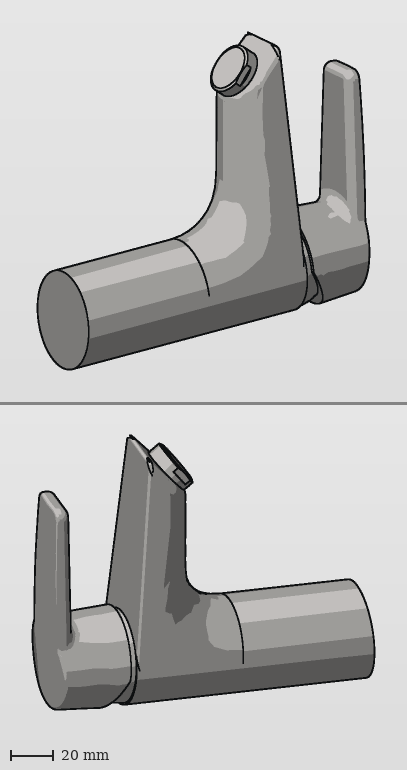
import cadquery as cq
import math

TILT = 5.0
TUBE_RADIUS = 23.5
TUBE_LENGTH = 119.6

SPOUT_TAPER = 4.0
SIDE_FLAT_DEPTH = 10.4
ELBOW_RADIUS = 25.6
SIDE_TAIL = 0.5
ELBOW_SWELL = 7.0
ELBOW_STEPS = 4
TUBE_END_ANGLE = 90.0
ELBOW_START = 66.2
SPOUT_STOCK_HEIGHT = 130.0
REAR_EDGE_RADIUS = 1.9
TIP_EDGE_RADIUS = 1.13
TIP_CORNER_RADIUS = 7.0
TIP_HEIGHT = 110.8

MOUTH_RISE = 40.0
MOUTH_Y = 97.6
MOUTH_Z = 108.45
MOUTH_CUT = 80.0
MOUTH_EDGE_RADIUS = 5.0
AERATOR_RISE = 36.0
AERATOR_FACE_Y = 90.1
AERATOR_FACE_Z = 109.6
AERATOR_RADIUS = 12.1
AERATOR_STOCK_LENGTH = 9.0
AERATOR_CHAMFER_WIDTH = 1.4
AERATOR_CHAMFER_DEPTH = 0.7
WRENCH_FLAT_SPAN = 22.0
WRENCH_FLAT_LENGTH = 3.6

DOME_RADIUS = 22.6

CAP_RIM_RADIUS = 24.31
CAP_RIM_GAP = 3.2
CAP_TAPER = 3.5
CAP_STOCK_LENGTH = 45.0
RELIEF_ANGLE = 25.0
CROWN_BACK = 157.0
CROWN_Z = 45.0
CROWN_SIDE_RADIUS = 116.0
CROWN_LENGTH_RADIUS = 880.0
LEVER_TOP = 101.5
LEVER_ROOT = 18.0
LEVER_FRONT = 147.9
LEVER_TOP_HALF = 12.3
LEVER_ROOT_HALF = 17.0
LEVER_CORNER_RADIUS = 5.0
LEVER_EDGE_RADIUS = 4.0
LEVER_BLEND_RADIUS = 5.5
CROWN_HALF_LENGTH = 150.0
CROWN_EDGE_RADIUS = 1.5

SIDE_FLAT_START = TUBE_LENGTH - SIDE_FLAT_DEPTH
ELBOW_CENTRE_HEIGHT = TUBE_RADIUS + ELBOW_RADIUS
ELBOW_CENTRE = cq.Vector(0, ELBOW_START, ELBOW_CENTRE_HEIGHT)
CORNER_ANGLE = math.degrees(math.atan2(ELBOW_CENTRE_HEIGHT, SIDE_FLAT_START - ELBOW_START))
BIG = 400.0


def tilt(shape):
    """Turn a shape built along +Y so that its axis rises towards the back."""
    return shape.rotate((0, 0, 0), (1, 0, 0), TILT)


def half_width(height):
    """Half the spout width at a height above the tube axis."""
    return TUBE_RADIUS - height * math.tan(math.radians(SPOUT_TAPER))


def d_section(front, shoulder, back):
    """Wire with a half-ellipse nose up to the shoulder and straight sides on to the back."""
    toward_front = (front - shoulder).normalized()
    depth = (front - shoulder).Length
    tail = (shoulder - back).Length
    plane = cq.Plane(origin=shoulder, xDir=(1, 0, 0), normal=cq.Vector(1, 0, 0).cross(toward_front))
    nose_half = half_width(shoulder.z)
    back_half = half_width(back.z)
    outline = (
        cq.Workplane(plane)
        .moveTo(-back_half, -tail)
        .lineTo(back_half, -tail)
        .lineTo(nose_half, 0)
        .ellipseArc(nose_half, depth, 0, 90, startAtCurrent=True)
        .ellipseArc(nose_half, depth, 90, 180, startAtCurrent=True)
        .close()
    )
    return outline.val()


def bend_back(angle):
    """Distance from the bend centre to the side flat or the tube's mid-plane."""
    to_flat = (SIDE_FLAT_START - ELBOW_START) / math.cos(math.radians(angle))
    to_tube = ELBOW_CENTRE_HEIGHT / math.sin(math.radians(angle))
    return min(to_flat, to_tube)


def elbow_section(angle):
    """Section of the bend in the radial plane at an angle below horizontal, degrees."""
    ray = cq.Vector(0, math.cos(math.radians(angle)), -math.sin(math.radians(angle)))
    first_depth = bend_back(TILT) - ELBOW_RADIUS - SIDE_TAIL
    last_depth = TUBE_RADIUS - SIDE_TAIL
    share = (angle - TILT) / (TUBE_END_ANGLE - TILT)
    swell = ELBOW_SWELL * math.sin(math.pi * share) ** 2
    nose_depth = first_depth + (last_depth - first_depth) * share + swell
    return d_section(
        ELBOW_CENTRE + ray * ELBOW_RADIUS,
        ELBOW_CENTRE + ray * (ELBOW_RADIUS + nose_depth),
        ELBOW_CENTRE + ray * bend_back(angle),
    )


def elbow_part(first, last):
    step = (last - first) / ELBOW_STEPS
    sections = [elbow_section(first + step * i) for i in range(ELBOW_STEPS + 1)]
    return cq.Workplane(cq.Solid.makeLoft(sections))


def spout_front():
    """Rounded front of the spout, straight from the bend upwards."""
    lean = math.radians(TILT)
    up = cq.Vector(0, math.sin(lean), math.cos(lean))
    level = cq.Vector(0, math.cos(lean), -math.sin(lean))
    sections = []
    for rise in (0, SPOUT_STOCK_HEIGHT - ELBOW_CENTRE_HEIGHT):
        front = ELBOW_CENTRE + level * ELBOW_RADIUS + up * rise
        back = front + level * ((SIDE_FLAT_START - front.y) / level.y)
        sections.append(d_section(front, back - level * SIDE_TAIL, back))
    return cq.Workplane(cq.Solid.makeLoft(sections, True))


def spout_back(top):
    """Flat-sided rear slab of the spout, up to a height above the tube axis."""
    top_half = half_width(top)
    return (
        cq.Workplane("XZ", origin=(0, SIDE_FLAT_START, 0))
        .polyline([
            (-TUBE_RADIUS, 0), (TUBE_RADIUS, 0),
            (top_half, top), (-top_half, top),
        ])
        .close()
        .extrude(-SIDE_FLAT_DEPTH)
    )


def rear_edge_waste():
    """Slivers to remove so that the long rear edges of the spout are round."""
    slab = spout_back(SPOUT_STOCK_HEIGHT)
    rounded = slab.faces(">Y").edges("not(>Z or <Z)").fillet(REAR_EDGE_RADIUS)
    return slab.cut(rounded)


def tip_corner_waste():
    """Slivers to remove so that the two top corners of the spout are round."""
    slab = spout_back(TIP_HEIGHT)
    return slab.cut(slab.edges("|Y and >Z").fillet(TIP_CORNER_RADIUS))


def tip_waste():
    """Sliver to remove so that the edge between the mouth and the rear face is round."""
    rise = math.radians(MOUTH_RISE)
    lean = math.radians(TILT)
    rear_gap = TUBE_LENGTH - MOUTH_Y * math.cos(lean) - MOUTH_Z * math.sin(lean)
    run = rear_gap / math.sin(rise + lean)
    tip_y = MOUTH_Y + run * math.sin(rise)
    tip_z = MOUTH_Z + run * math.cos(rise)
    wedge = (
        cq.Workplane("YZ")
        .polyline([
            (tip_y, tip_z),
            (tip_y - run * math.sin(rise), tip_z - run * math.cos(rise)),
            (tip_y + run * math.sin(lean), tip_z - run * math.cos(lean)),
        ])
        .close()
        .extrude(MOUTH_CUT, both=True)
    )
    return wedge.cut(wedge.edges(">Z").fillet(TIP_EDGE_RADIUS))


def raised_plane(y, z, rise):
    """Plane facing forwards and up at an angle above horizontal, degrees."""
    facing = cq.Vector(0, -math.cos(math.radians(rise)), math.sin(math.radians(rise)))
    return cq.Plane(origin=(0, y, z), xDir=(1, 0, 0), normal=facing)


MOUTH_PLANE = raised_plane(MOUTH_Y, MOUTH_Z, MOUTH_RISE)
AERATOR_PLANE = raised_plane(AERATOR_FACE_Y, AERATOR_FACE_Z, AERATOR_RISE)


def make_spout():
    spout = spout_back(SPOUT_STOCK_HEIGHT).union(spout_front())
    spout = spout.union(elbow_part(TILT, CORNER_ANGLE))
    spout = spout.union(elbow_part(CORNER_ANGLE, TUBE_END_ANGLE))
    spout = tilt(spout).cut(cq.Workplane(MOUTH_PLANE).rect(MOUTH_CUT, MOUTH_CUT).extrude(MOUTH_CUT))
    mouth = spout.faces(cq.selectors.NearestToPointSelector(MOUTH_PLANE.origin.toTuple()))
    spout = mouth.edges("not(>Z)").fillet(MOUTH_EDGE_RADIUS)
    return spout.cut(tilt(rear_edge_waste())).cut(tilt(tip_corner_waste())).cut(tip_waste())


def make_body():
    run_in = TUBE_RADIUS
    tube = (
        cq.Workplane("XZ", origin=(0, -run_in, 0))
        .circle(TUBE_RADIUS)
        .extrude(-TUBE_LENGTH - run_in)
    )
    below_base = cq.Workplane("XZ").rect(BIG, BIG).extrude(BIG)
    return tilt(tube).cut(below_base).union(make_spout())


def make_aerator(body):
    """Nozzle disc with two wrench flats, ending on the mouth of the spout."""
    disc = (
        cq.Workplane(AERATOR_PLANE)
        .circle(AERATOR_RADIUS)
        .extrude(-AERATOR_STOCK_LENGTH)
        .faces(cq.selectors.NearestToPointSelector(AERATOR_PLANE.origin.toTuple()))
        .chamfer(AERATOR_CHAMFER_DEPTH, AERATOR_CHAMFER_WIDTH)
    )
    beside_flats = (
        cq.Workplane(AERATOR_PLANE)
        .rect(2 * MOUTH_CUT, MOUTH_CUT)
        .rect(WRENCH_FLAT_SPAN, MOUTH_CUT)
        .extrude(-WRENCH_FLAT_LENGTH)
    )
    return disc.cut(beside_flats).cut(body)


def make_dome():
    dome = (
        cq.Workplane("XY", origin=(0, TUBE_LENGTH, 0))
        .lineTo(DOME_RADIUS, 0)
        .radiusArc((0, DOME_RADIUS), -DOME_RADIUS)
        .close()
        .revolve(360, (0, 0, 0), (0, 1, 0))
    )
    return tilt(dome)


def make_cap():
    rim = TUBE_LENGTH + CAP_RIM_GAP
    cap = (
        cq.Workplane("XZ", origin=(0, rim, 0))
        .circle(CAP_RIM_RADIUS)
        .extrude(-CAP_STOCK_LENGTH, taper=CAP_TAPER)
    )
    run_back = 2 * CAP_RIM_RADIUS * math.tan(math.radians(RELIEF_ANGLE))
    relief = (
        cq.Workplane("YZ")
        .polyline([(rim, 0), (rim, -2 * CAP_RIM_RADIUS), (rim + run_back, -2 * CAP_RIM_RADIUS)])
        .close()
        .extrude(BIG / 2, both=True)
    )
    return tilt(cap.cut(relief))


def make_lever():
    return (
        cq.Workplane("XZ", origin=(0, LEVER_FRONT, 0))
        .polyline([
            (-LEVER_ROOT_HALF, LEVER_ROOT), (LEVER_ROOT_HALF, LEVER_ROOT),
            (LEVER_TOP_HALF, LEVER_TOP), (-LEVER_TOP_HALF, LEVER_TOP),
        ])
        .close()
        .extrude(-CAP_STOCK_LENGTH)
        .edges("|Y and >Z")
        .fillet(LEVER_CORNER_RADIUS)
        .faces("<Y")
        .edges("not <Z")
        .fillet(LEVER_EDGE_RADIUS)
    )


def make_crown():
    """Barrel whose bulging side is the back of the handle."""
    axis_y = CROWN_BACK - CROWN_SIDE_RADIUS
    half_length = CROWN_HALF_LENGTH
    drop = CROWN_LENGTH_RADIUS - math.sqrt(CROWN_LENGTH_RADIUS**2 - half_length**2)
    end = CROWN_BACK - drop
    return (
        cq.Workplane("YZ")
        .moveTo(axis_y, CROWN_Z - half_length)
        .lineTo(end, CROWN_Z - half_length)
        .threePointArc((CROWN_BACK, CROWN_Z), (end, CROWN_Z + half_length))
        .lineTo(axis_y, CROWN_Z + half_length)
        .close()
        .revolve(360, (axis_y, 0, 0), (axis_y, 1, 0))
    )


def make_handle(dome):
    """Cap and lever in one piece, hollowed to sit on the dome."""
    cap_back = TUBE_LENGTH + CAP_RIM_GAP + CAP_STOCK_LENGTH
    joint = cq.selectors.BoxSelector(
        (-CAP_RIM_RADIUS, LEVER_FRONT - LEVER_EDGE_RADIUS, CAP_RIM_RADIUS),
        (CAP_RIM_RADIUS, cap_back, LEVER_TOP / 2),
    )
    handle = make_cap().union(make_lever())
    handle = handle.edges(joint).fillet(LEVER_BLEND_RADIUS)
    handle = handle.intersect(make_crown())
    crown_face = cq.selectors.NearestToPointSelector((0, CROWN_BACK, CROWN_Z))
    handle = handle.faces(crown_face).edges().fillet(CROWN_EDGE_RADIUS)
    return handle.cut(dome)


body = make_body()
aerator = make_aerator(body)
dome = make_dome()
handle = make_handle(dome)

result = cq.Compound.makeCompound([body.val(), aerator.val(), dome.val(), handle.val()])